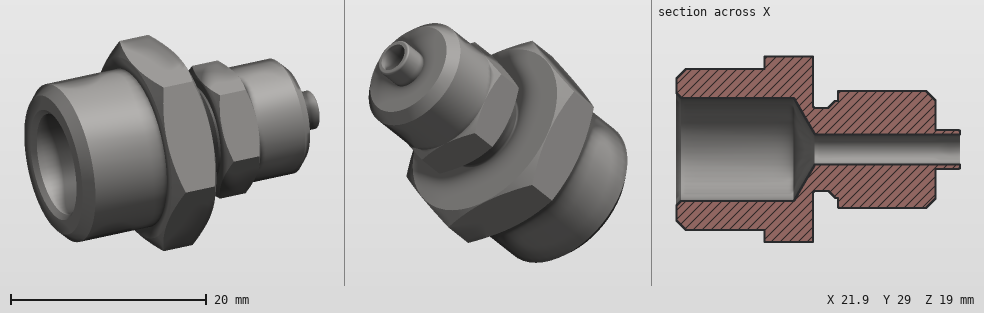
import cadquery as cq
import math


THREAD_DIAMETER = 16.5
THREAD_LENGTH = 9.0
THREAD_CHAMFER = 1.0

HEX_CHAMFER_ANGLE = 30.0
BODY_HEX_FLATS = 19.0
BODY_HEX_LENGTH = 5.0
BODY_FACE_DIAMETER = 18.9
NUT_HEX_FLATS = 12.0
NUT_HEX_LENGTH = 4.0
NUT_START_FACE_DIAMETER = 11.8

NECK_DIAMETER = 8.5
NECK_LENGTH = 1.5
NECK_ROOT_FILLET = 0.2
COLLAR_DIAMETER = 10.0
COLLAR_RIM_LENGTH = 0.25

SLEEVE_LENGTH = 6.0
SLEEVE_CHAMFER = 1.0
SPIGOT_DIAMETER = 4.0
SPIGOT_LENGTH = 2.5
SPIGOT_TIP_FILLET = 0.2

BORE_DIAMETER = 10.5
BORE_DEPTH = 12.0
BORE_MOUTH_CHAMFER = 0.5
BORE_CONE_ANGLE = 120.0
PASSAGE_DIAMETER = 3.0

thread_radius = THREAD_DIAMETER / 2
neck_radius = NECK_DIAMETER / 2
collar_radius = COLLAR_DIAMETER / 2
sleeve_radius = NUT_HEX_FLATS / 2
spigot_radius = SPIGOT_DIAMETER / 2
bore_radius = BORE_DIAMETER / 2
passage_radius = PASSAGE_DIAMETER / 2

body_hex_start = THREAD_LENGTH
body_hex_end = body_hex_start + BODY_HEX_LENGTH
neck_end = body_hex_end + NECK_LENGTH
collar_rim_start = neck_end + collar_radius - neck_radius
nut_hex_start = collar_rim_start + COLLAR_RIM_LENGTH
nut_hex_end = nut_hex_start + NUT_HEX_LENGTH
sleeve_end = nut_hex_end + SLEEVE_LENGTH
total_length = sleeve_end + SPIGOT_LENGTH


def revolve_profile(points):
    """Revolve a closed (radius, station) outline about the Y axis."""
    return cq.Workplane("XY").polyline(points).close().revolve(360, (0, 0, 0), (0, 1, 0))


def chamfered_hexagon(flats, start, length, start_face_diameter, end_face_diameter):
    """Hexagon with corners on X, its corners cut by a cone at both ends."""
    corner_radius = flats / math.sqrt(3)
    start_face_radius = start_face_diameter / 2
    end_face_radius = end_face_diameter / 2
    slope = math.tan(math.radians(HEX_CHAMFER_ANGLE))
    end = start + length
    prism = (
        cq.Workplane("XZ", origin=(0, start, 0))
        .polygon(6, 2 * corner_radius)
        .extrude(-length)
    )
    envelope = revolve_profile([
        (0, start),
        (start_face_radius, start),
        (corner_radius, start + (corner_radius - start_face_radius) * slope),
        (corner_radius, end - (corner_radius - end_face_radius) * slope),
        (end_face_radius, end),
        (0, end),
    ])
    return prism.intersect(envelope)


def turned_body():
    """Round outside surfaces and the cores of both hexagons, from the threaded end to the spigot tip."""
    turning = revolve_profile([
        (0, 0),
        (thread_radius - THREAD_CHAMFER, 0),
        (thread_radius, THREAD_CHAMFER),
        (thread_radius, body_hex_end),
        (neck_radius, body_hex_end),
        (neck_radius, neck_end),
        (collar_radius, collar_rim_start),
        (collar_radius, nut_hex_end),
        (sleeve_radius, nut_hex_end),
        (sleeve_radius, sleeve_end - SLEEVE_CHAMFER),
        (sleeve_radius - SLEEVE_CHAMFER, sleeve_end),
        (spigot_radius, sleeve_end),
        (spigot_radius, total_length),
        (0, total_length),
    ])
    neck_root = cq.selectors.BoxSelector(
        (-NECK_DIAMETER, body_hex_end - NECK_ROOT_FILLET, -NECK_DIAMETER),
        (NECK_DIAMETER, body_hex_end + NECK_ROOT_FILLET, NECK_DIAMETER),
    )
    turning = turning.edges(neck_root).edges(cq.selectors.RadiusNthSelector(0)).fillet(NECK_ROOT_FILLET)
    return turning.faces(">Y").edges().fillet(SPIGOT_TIP_FILLET)


def internal_passage():
    """Wide bore with a chamfered mouth and a conical end, leading to the through passage."""
    cone_length = (bore_radius - passage_radius) / math.tan(math.radians(BORE_CONE_ANGLE / 2))
    return revolve_profile([
        (0, 0),
        (bore_radius + BORE_MOUTH_CHAMFER, 0),
        (bore_radius, BORE_MOUTH_CHAMFER),
        (bore_radius, BORE_DEPTH),
        (passage_radius, BORE_DEPTH + cone_length),
        (passage_radius, total_length),
        (0, total_length),
    ])


body_hex = chamfered_hexagon(
    flats=BODY_HEX_FLATS,
    start=body_hex_start,
    length=BODY_HEX_LENGTH,
    start_face_diameter=BODY_FACE_DIAMETER,
    end_face_diameter=BODY_FACE_DIAMETER,
)
nut_hex = chamfered_hexagon(
    flats=NUT_HEX_FLATS,
    start=nut_hex_start,
    length=NUT_HEX_LENGTH,
    start_face_diameter=NUT_START_FACE_DIAMETER,
    end_face_diameter=NUT_HEX_FLATS,
)

result = turned_body().union(body_hex).union(nut_hex).cut(internal_passage())